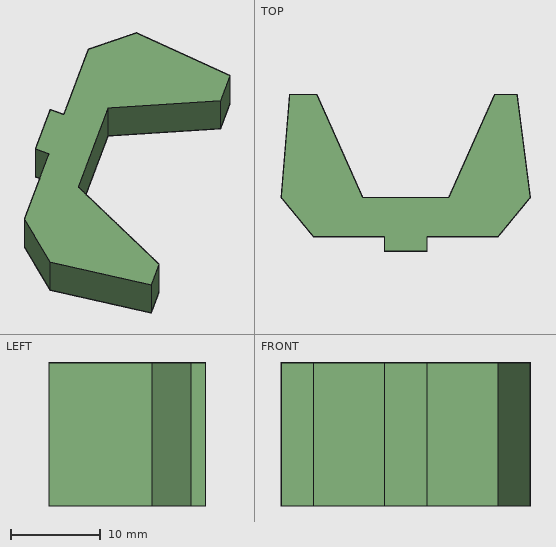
import cadquery as cq

width = 27.78
depth = 17.47
height = 16.0

tab_width = 4.78
tab_depth = 1.6
base_width = 20.55

shoulder_y = 6.0
floor_width = 9.55

tip_gap = 19.78
left_tip_width = 3.05
right_tip_width = 2.53


def clip_body():
    """U-shaped clip with tapered arms and chamfered base corners."""
    half_gap = tip_gap / 2
    outline = [
        (-base_width / 2, tab_depth),
        (base_width / 2, tab_depth),
        (width / 2, shoulder_y),
        (half_gap + right_tip_width, depth),
        (half_gap, depth),
        (floor_width / 2, shoulder_y),
        (-floor_width / 2, shoulder_y),
        (-half_gap, depth),
        (-half_gap - left_tip_width, depth),
        (-width / 2, shoulder_y),
    ]
    return cq.Workplane("XY").polyline(outline).close().extrude(height)


def locating_tab():
    """Full-height tab on the base, reaching up to the floor inside the body."""
    return cq.Workplane("XY").box(tab_width, shoulder_y, height, centered=(True, False, False))


result = clip_body().union(locating_tab())